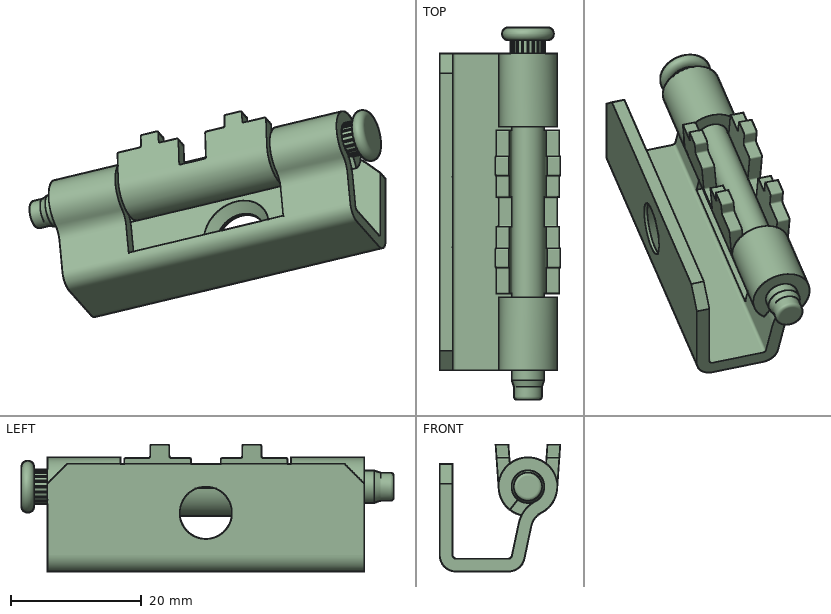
import cadquery as cq
import math


sheet = 2.0
pin_radius = 2.5
roll_radius = pin_radius + sheet
axis_x = 13.5
axis_z = 13.0

bracket_length = 48.5
flange_height = 16.5
flange_chamfer = 3.0
flange_hole_diameter = 8.0
flange_hole_z = 9.0
flange_hole_lip = 0.5
inner_bend = 0.5
outer_bend = inner_bend + sheet
floor_inner_end = 10.95
leg_lean = 12.0
lean = math.radians(leg_lean)
floor_outer_end = floor_inner_end + sheet * (1 - math.sin(lean)) / math.cos(lean)
neck_bend = 3.0
roll_end_angle = 232.0
knuckle_length = 11.25
window_length = bracket_length - 2 * knuckle_length
window_bottom = sheet + inner_bend

clip_length = 25.0
clip_flare = 4.0
clip_top = 19.45
shoulder_top = 17.4
saddle_top = 12.75
saddle_length = 4.5
tab_width = 2.95
tab_end_distance = 4.0
clip_round = 0.3

head_radius = 4.0
head_thickness = 2.0
head_standoff = 2.0
neck_radius = 2.7
serration_count = 20
serration_width = 0.3
serration_depth = neck_radius - pin_radius
tip_length = 4.5
tip_radius = 2.15
tip_round = 0.5
taper_start = 1.5
taper_length = 1.0


def polar(radius, degrees, center=(axis_x, axis_z)):
    """Point in the XZ plane at a radius and angle about a center."""
    angle = math.radians(degrees)
    return (center[0] + radius * math.cos(angle), center[1] + radius * math.sin(angle))


def extrude_along_y(outline, length):
    """Solid from an XZ outline, centered on Y = 0."""
    return outline.extrude(length / 2, both=True)


def bracket_outline():
    """Flange, floor, leaning leg and roll, with sharp corners at the floor."""
    leg_offset = (
        (floor_inner_end - axis_x) * math.cos(lean) - (sheet - axis_z) * math.sin(lean) + sheet
    )
    neck_distance = roll_radius + neck_bend
    neck_angle = -leg_lean - math.degrees(math.acos((leg_offset + neck_bend) / neck_distance))
    neck_center = polar(neck_distance, neck_angle)
    roll_side = neck_angle + 180
    leg_side = 180 - leg_lean
    neck_middle = (roll_side + leg_side) / 2
    roll_start_angle = neck_angle + 360
    roll_middle = (neck_angle + roll_end_angle) / 2
    neck_outer = neck_bend + sheet

    return (
        cq.Workplane("XZ")
        .moveTo(0, 0)
        .lineTo(floor_outer_end, 0)
        .lineTo(*polar(neck_bend, leg_side, neck_center))
        .threePointArc(
            polar(neck_bend, neck_middle, neck_center), polar(roll_radius, roll_start_angle)
        )
        .threePointArc(polar(roll_radius, roll_middle), polar(roll_radius, roll_end_angle))
        .lineTo(*polar(pin_radius, roll_end_angle))
        .threePointArc(polar(pin_radius, roll_middle), polar(pin_radius, roll_start_angle))
        .threePointArc(
            polar(neck_outer, neck_middle, neck_center), polar(neck_outer, leg_side, neck_center)
        )
        .lineTo(floor_inner_end, sheet)
        .lineTo(sheet, sheet)
        .lineTo(sheet, flange_height)
        .lineTo(0, flange_height)
        .close()
    )


def make_bracket():
    body = extrude_along_y(bracket_outline(), bracket_length)

    bends = [
        ((0, 0, 0), outer_bend),
        ((floor_outer_end, 0, 0), outer_bend),
        ((sheet, 0, sheet), inner_bend),
        ((floor_inner_end, 0, sheet), inner_bend),
    ]
    for corner, radius in bends:
        body = body.edges(cq.selectors.NearestToPointSelector(corner)).fillet(radius)

    for end in (-1, 1):
        corner = (sheet / 2, end * bracket_length / 2, flange_height)
        body = body.edges(cq.selectors.NearestToPointSelector(corner)).chamfer(flange_chamfer)

    hole_radius = flange_hole_diameter / 2
    sink_radius = hole_radius + sheet - flange_hole_lip
    hole = (
        cq.Workplane("XY")
        .polyline([
            (0, 0),
            (0, hole_radius),
            (flange_hole_lip, hole_radius),
            (sheet, sink_radius),
            (sheet, 0),
        ])
        .close()
        .revolve(360, (0, 0, 0), (1, 0, 0))
        .translate((0, 0, flange_hole_z))
    )

    window = cq.Workplane("XY").box(
        2 * axis_x, window_length, 2 * axis_z, centered=(False, True, False)
    ).translate((2 * sheet, 0, window_bottom))
    return body.cut(hole).cut(window)


def clip_side_blank():
    """Side shape of the clip: two stepped lug blocks joined by a low saddle."""
    half = clip_length / 2
    tab_outer = half - tab_end_distance
    tab_inner = tab_outer - tab_width
    saddle_half = saddle_length / 2
    below_clip = axis_z - 2 * roll_radius
    right_half = [
        (saddle_half, saddle_top),
        (saddle_half, shoulder_top),
        (tab_inner, shoulder_top),
        (tab_inner, clip_top),
        (tab_outer, clip_top),
        (tab_outer, shoulder_top),
        (half, shoulder_top),
        (half, below_clip),
    ]
    left_half = [(-y, z) for y, z in reversed(right_half)]
    blank = cq.Workplane("YZ").polyline(right_half + left_half).close().extrude(2 * axis_x)
    return blank.edges("|X").fillet(clip_round)


def make_clip():
    """U-shaped strip under the pin with two arms that lean slightly outward."""
    slope = math.tan(math.radians(clip_flare))
    right_tangent = -clip_flare
    left_tangent = 180 + clip_flare

    def arm_top(radius, side):
        reach = radius / math.cos(math.radians(clip_flare)) + (clip_top - axis_z) * slope
        return (axis_x + side * reach, clip_top)

    outline = (
        cq.Workplane("XZ")
        .moveTo(*arm_top(roll_radius, 1))
        .lineTo(*polar(roll_radius, right_tangent))
        .threePointArc(polar(roll_radius, 270), polar(roll_radius, left_tangent))
        .lineTo(*arm_top(roll_radius, -1))
        .lineTo(*arm_top(pin_radius, -1))
        .lineTo(*polar(pin_radius, left_tangent))
        .threePointArc(polar(pin_radius, 270), polar(pin_radius, right_tangent))
        .lineTo(*arm_top(pin_radius, 1))
        .close()
    )
    return extrude_along_y(outline, clip_length).intersect(clip_side_blank())


def make_pin():
    """Headed pin along Y with a serrated neck and a stepped tip."""
    bracket_end = bracket_length / 2
    head_base = bracket_end + head_standoff
    head_end = head_base + head_thickness
    head_round = head_thickness / 2
    tip_end = -bracket_end - tip_length
    taper_y = -bracket_end - taper_start

    profile = (
        cq.Workplane("XY")
        .moveTo(0, tip_end)
        .lineTo(tip_radius - tip_round, tip_end)
        .radiusArc((tip_radius, tip_end + tip_round), -tip_round)
        .lineTo(tip_radius, taper_y - taper_length)
        .lineTo(pin_radius, taper_y)
        .lineTo(pin_radius, bracket_end)
        .lineTo(neck_radius, bracket_end)
        .lineTo(neck_radius, head_base)
        .lineTo(head_radius - head_round, head_base)
        .radiusArc((head_radius, head_base + head_round), -head_round)
        .radiusArc((head_radius - head_round, head_end), -head_round)
        .lineTo(0, head_end)
        .close()
    )
    body = profile.revolve(360, (0, 0, 0), (0, 1, 0))

    groove = (
        cq.Workplane("XZ", origin=(0, head_base, 0))
        .moveTo(neck_radius - serration_depth, 0)
        .lineTo(neck_radius + serration_depth, serration_width)
        .lineTo(neck_radius + serration_depth, -serration_width)
        .close()
        .extrude(head_standoff)
    )
    for index in range(serration_count):
        turn = index * 360 / serration_count
        body = body.cut(groove.rotate((0, 0, 0), (0, 1, 0), turn))
    return body.translate((axis_x, 0, axis_z))


bracket = make_bracket()
clip = make_clip()
pin = make_pin()
result = cq.Compound.makeCompound([body.solids().val() for body in (bracket, clip, pin)])